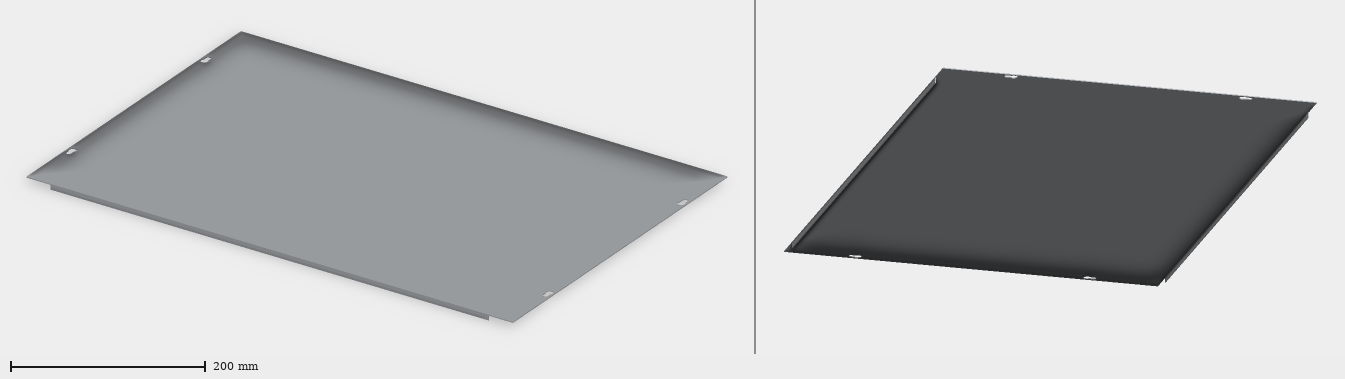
import cadquery as cq

length = 600.0
width = 399.0
height = 6.5
thickness = 1.0
flange_end_gap = 30.0
flange_length = length - 2 * flange_end_gap
flange_height = height - thickness

keyhole_edge_distance = 6.0
keyhole_x = length / 2 - keyhole_edge_distance
keyhole_y = 122.5
head_diameter = 8.5
slot_width = 6.0
slot_reach = 10.0
slot_centre_reach = slot_reach - slot_width / 2


def make_panel():
    """Flat rectangular sheet."""
    return (
        cq.Workplane("XY", origin=(0, 0, flange_height))
        .box(length, width, thickness, centered=(True, True, False))
    )


def make_flange(side_y):
    """Downturned strip flush with one long side of the panel."""
    centre_y = side_y * (width - thickness) / 2
    return (
        cq.Workplane("XY", origin=(0, centre_y, 0))
        .box(flange_length, thickness, flange_height, centered=(True, True, False))
    )


def make_keyhole_cutter(side_x, side_y):
    """Round head with a narrower slot pointing to the nearer long side."""
    x = side_x * keyhole_x
    head_y = side_y * keyhole_y
    slot_end_y = head_y + side_y * slot_centre_reach
    slot_middle_y = (head_y + slot_end_y) / 2
    plane = cq.Workplane("XY")
    head = plane.center(x, head_y).circle(head_diameter / 2).extrude(height)
    slot = plane.center(x, slot_middle_y).rect(slot_width, slot_centre_reach).extrude(height)
    slot_end = plane.center(x, slot_end_y).circle(slot_width / 2).extrude(height)
    return head.union(slot).union(slot_end)


result = make_panel()
for side_y in (-1, 1):
    result = result.union(make_flange(side_y))
for side_x in (-1, 1):
    for side_y in (-1, 1):
        result = result.cut(make_keyhole_cutter(side_x, side_y))